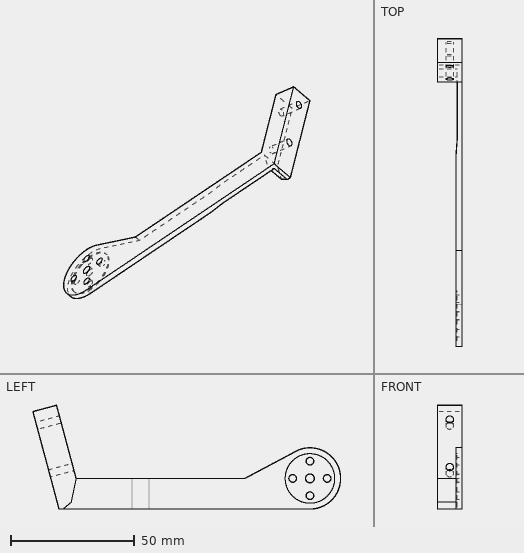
import cadquery as cq
import math

width = 10.0

hub_radius = 12.5
recess_diameter = 20.1
recess_depth = 0.5
centre_hole_diameter = 3.5
screw_diameter = 3.0
screw_circle_radius = 7.0
screw_count = 4

arm_thickness = 2.5
thin_thickness = 2.0
arm_top = 0.0
arm_bottom = -hub_radius
ramp_start = 65.2
ramp_end = 72.0
neck_start = 26.5
neck_end = 4.6

tilt = 15.0
post_depth = 10.0
post_top = 29.7
end_y = 112.3
lower_bend_y = 96.7
lower_bend_z = -9.6
foot_y = 100.1
post_hole_diameter = 3.0
post_hole_spacing = 20.0
post_hole_count = 2
post_hole_from_top = 6.0

tilt_sin = math.sin(math.radians(tilt))
tilt_cos = math.cos(math.radians(tilt))
tilt_tan = math.tan(math.radians(tilt))

inner_top_y = end_y - post_depth * tilt_cos
outer_top_z = post_top - post_depth * tilt_sin
outer_foot_y = end_y - (outer_top_z - arm_bottom) * tilt_tan
inner_bend_y = inner_top_y - (post_top - arm_top) * tilt_tan


def make_arm():
    """Arm and hub profile, with the -X side thinned beyond a short ramp."""
    neck_end_z = math.sqrt(hub_radius**2 - neck_end**2)
    profile = (
        cq.Workplane("YZ", origin=(width - arm_thickness, 0, 0))
        .moveTo(0, arm_bottom)
        .lineTo(outer_foot_y, arm_bottom)
        .lineTo(inner_bend_y, arm_top)
        .lineTo(neck_start, arm_top)
        .lineTo(neck_end, neck_end_z)
        .threePointArc((-hub_radius, 0), (0, arm_bottom))
        .close()
        .extrude(arm_thickness)
    )
    thick_face = width - arm_thickness
    thin_face = width - thin_thickness
    relief = (
        cq.Workplane("XY", origin=(0, 0, arm_bottom))
        .moveTo(thick_face, ramp_start)
        .lineTo(thin_face, ramp_end)
        .lineTo(thin_face, end_y)
        .lineTo(thick_face, end_y)
        .close()
        .extrude(arm_top - arm_bottom)
    )
    return profile.cut(relief)


def make_post():
    """Tilted bar whose foot is bevelled down to the underside of the arm."""
    outline = [
        (end_y, outer_top_z),
        (inner_top_y, post_top),
        (inner_bend_y, arm_top),
        (lower_bend_y, lower_bend_z),
        (foot_y, arm_bottom),
        (outer_foot_y, arm_bottom),
    ]
    return cq.Workplane("YZ").polyline(outline).close().extrude(width)


def hub_cutter(diameter, depth, y=0.0, z=0.0):
    """Cylinder going into the hub from its -X face."""
    plane = cq.Workplane("YZ", origin=(width - arm_thickness, 0, 0))
    return plane.center(y, z).circle(diameter / 2).extrude(depth)


def post_hole(distance):
    """Through hole square to the post, at a distance down from its top inner edge."""
    start = cq.Vector(width / 2, inner_top_y - distance * tilt_sin, post_top - distance * tilt_cos)
    direction = cq.Vector(0, tilt_cos, -tilt_sin)
    return cq.Solid.makeCylinder(post_hole_diameter / 2, post_depth, start, direction)


result = make_arm().union(make_post())

result = result.cut(hub_cutter(recess_diameter, recess_depth))
result = result.cut(hub_cutter(centre_hole_diameter, arm_thickness))
for index in range(screw_count):
    angle = 2 * math.pi * index / screw_count
    screw_y = screw_circle_radius * math.cos(angle)
    screw_z = screw_circle_radius * math.sin(angle)
    result = result.cut(hub_cutter(screw_diameter, arm_thickness, screw_y, screw_z))

for index in range(post_hole_count):
    result = result.cut(post_hole(post_hole_from_top + index * post_hole_spacing))